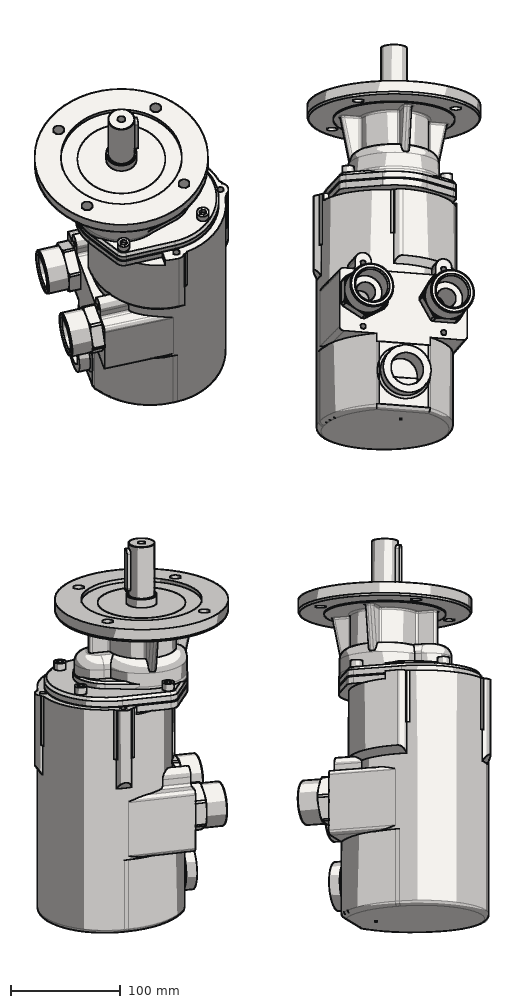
import math

import cadquery as cq


MARGIN = 1.0

SHAFT_TOP = 55.0
COLLAR_TOP = 5.0
FLANGE_BOTTOM = -12.3
FLANGE_RING_BOTTOM = -13.4
NECK_BOTTOM = -46.0
COVER_TOP = -72.0
BODY_TOP = -81.0
PLATE_BOTTOM = -88.0
BODY_BOTTOM = -299.0
PART_BOTTOM = -300.0
BLOCK_TOP = -168.2
BLOCK_BOTTOM = -228.0
PAD_TOP = -235.6

SHAFT_DIA = 24.0
COLLAR_DIA = 28.0
SHAFT_CHAMFER = 0.4
CENTRE_HOLE_DIA = 7.0
CENTRE_HOLE_DEPTH = 20.0
KEY_WIDTH = 8.0
KEY_BOTTOM = 9.5
KEY_TOP = 50.5
KEY_OUTER_Y = 15.0

FLANGE_DIA = 158.0
FLANGE_CHAMFER_HEIGHT = 2.0
FLANGE_CHAMFER_WIDTH = 1.2
FLANGE_RING_DIA = 111.0
RECESS_DIA = 110.0
RECESS_DEPTH = 3.5
SEAL_COVER_DIA = 80.0
SEAL_COVER_RISE = 0.2
FLANGE_HOLE_DIA = 10.0
FLANGE_BOLT_CIRCLE_DIA = 130.0

NECK_DIA = 63.5
DOME_DIA = 83.0
DOME_ROUND = 10.5
LOBE_Y = 42.2
LOBE_RADIUS = 21.0
RIB_THICKNESS = 7.5
RIB_EDGE_ROUND = 2.4
RIB_ROOT_FILLET = 2.2
RIB_TOP_FILLET = 1.8
SIDE_RIB_Y = 1.8
RIB_TOP_REACH = 50.3
RIB_FOOT_REACH = 41.5
RIB_FOOT_Z = -55.5
DOME_FOOT_TOP = -69.6
DOME_FOOT_RADIUS = 41.9
WEB_TOP = -65.3
WEB_FRONT_Y = 12.0
WEB_REAR_HALF_WIDTH = 29.3
WEB_REAR_Y = 43.8
WEB_END_Y = 63.8
WEB_CHAMFER = 2.0

COVER_FRONT_RADIUS = 42.0
COVER_FRONT_HALF_ANGLE = math.radians(30)
COVER_CORNER_RADIUS = 9.0
COVER_CHAMFER_HEIGHT = 3.0
COVER_CHAMFER_WIDTH = 2.3
GASKET_TOP = -80.5
GASKET_BOTTOM = -81.5
GASKET_INSET = 0.25
SCREW_HEAD_DIA = 11.0
SCREW_HEAD_TOP = -65.2
SCREW_SOCKET_DIA = 6.4
SCREW_SOCKET_DEPTH = 4.0

BODY_Y = 35.0
BODY_RADIUS = 61.5
COVER_REAR_RADIUS = 55.3
BODY_ROUND = 4.0
SHOULDER_Y = 22.7
BOSS_RADIUS = 7.5
BOSS_REACH = 66.25
BOSS_BOTTOM = -151.0
BOSS_TAPER_BOTTOM = -158.0
BOSS_FLARE_WIDTH = 19.7
BOSS_FLARE_BOTTOM = -129.0
BOSS_HOLE_DIA = 6.0
BOSS_HOLE_DEPTH = 15.0
NUB_X = 4.6
NUB_Y = -7.0
NUB_DIA = 2.0

FRONT_Y = -33.2
BLOCK_FRONT_HALF_WIDTH = 60.3
BLOCK_REAR_HALF_WIDTH = 61.45
BLOCK_ROUND = 4.0
EAR_X = 38.0
EAR_RADIUS = 7.5
EAR_TOP = -152.3
EAR_ROOT_FILLET = 2.5
BLOCK_HOLE_DIA = 5.0
BLOCK_HOLE_DEPTH = 12.0
BLOCK_HOLE_LEVELS = (-162.2, -222.3)
HOUSING_HALF_WIDTH = 25.2
HOUSING_SIDE_FLAT = 4.0
HOUSING_ARC_RADIUS = 75.0
PAD_Y = -34.2
PAD_HALF_WIDTH = 23.2

FITTING_Z = -192.0
FITTING_POINT_UP = 30.0
FITTING_FLAT_UP = 0.0
FITTING_HEX_WIDTH = 41.0
FITTING_HEX_CORNER_DIA = 46.0
FITTING_HEX_END_Y = -44.4
FITTING_TUBE_DIA = 41.0
FITTING_END_Y = -64.3
FITTING_EDGE = 1.0
FITTING_BORE_DIA = 30.3
FITTING_MOUTH_DIA = 33.25
FITTING_BORE_DEPTH = 22.0
FITTING_HOLE_DIA = 18.0
OUTLET_Z = -263.4
OUTLET_DIA = 45.0
OUTLET_BASE_DIA = 50.0
OUTLET_BASE_END_Y = -36.0
OUTLET_END_Y = -46.2
OUTLET_BORE_DIA = 30.5
OUTLET_LEDGE_Y = -28.0
OUTLET_LEDGE_TOP = -266.5


def disc(radius, top, bottom, x=0.0, y=0.0):
    """Upright cylinder between two levels."""
    return cq.Workplane("XY", origin=(x, y, bottom)).circle(radius).extrude(top - bottom)


def facing_disc(radius, x, z, front_y, back_y):
    """Cylinder along Y, from its front end to its back end."""
    return cq.Workplane("XZ", origin=(x, back_y, z)).circle(radius).extrude(back_y - front_y)


def box(x_range, y_range, z_range):
    """Box between two limits on each axis."""
    return (
        cq.Workplane("XY", origin=(x_range[0], y_range[0], z_range[0]))
        .box(x_range[1] - x_range[0], y_range[1] - y_range[0], z_range[1] - z_range[0], centered=False)
    )


def output_shaft():
    """Shaft with collar, centre hole and parallel key on its +Y side."""
    shaft = disc(SHAFT_DIA / 2, SHAFT_TOP, NECK_BOTTOM).faces(">Z").chamfer(SHAFT_CHAMFER)
    collar = disc(COLLAR_DIA / 2, COLLAR_TOP, NECK_BOTTOM).faces(">Z").chamfer(SHAFT_CHAMFER)
    key = (
        cq.Workplane("XZ", origin=(0, KEY_OUTER_Y, (KEY_TOP + KEY_BOTTOM) / 2))
        .slot2D(KEY_TOP - KEY_BOTTOM, KEY_WIDTH, 90)
        .extrude(KEY_OUTER_Y)
    )
    hole = disc(CENTRE_HOLE_DIA / 2, SHAFT_TOP, SHAFT_TOP - CENTRE_HOLE_DEPTH)
    return shaft.union(collar).union(key).cut(hole)


def mounting_flange():
    """Round flange with a recessed face, a barely raised seal cover and four bolt holes."""
    flange = disc(FLANGE_DIA / 2, 0, FLANGE_BOTTOM)
    flange = flange.faces("<Z").chamfer(FLANGE_CHAMFER_HEIGHT, FLANGE_CHAMFER_WIDTH)
    holes = (
        cq.Workplane("XY", origin=(0, 0, FLANGE_BOTTOM))
        .polarArray(FLANGE_BOLT_CIRCLE_DIA / 2, 45, 360, 4)
        .circle(FLANGE_HOLE_DIA / 2)
        .extrude(-FLANGE_BOTTOM)
    )
    seal_cover = disc(SEAL_COVER_DIA / 2, -RECESS_DEPTH + SEAL_COVER_RISE, FLANGE_BOTTOM)
    return flange.cut(disc(RECESS_DIA / 2, 0, -RECESS_DEPTH)).cut(holes).union(seal_cover)


def rib(angle, foot_reach, offset=0.0):
    """Radial web between flange and dome with a rounded outer edge, moved sideways along Y."""
    web = (
        cq.Workplane("XZ", origin=(0, RIB_THICKNESS / 2, 0))
        .moveTo(0, FLANGE_BOTTOM)
        .lineTo(RIB_TOP_REACH, FLANGE_BOTTOM)
        .lineTo(foot_reach, RIB_FOOT_Z)
        .lineTo(0, RIB_FOOT_Z)
        .close()
        .extrude(RIB_THICKNESS)
    )
    outer_edges = cq.selectors.BoxSelector(
        (foot_reach / 2, -RIB_THICKNESS, RIB_FOOT_Z + MARGIN),
        (RIB_TOP_REACH + MARGIN, RIB_THICKNESS, FLANGE_BOTTOM - MARGIN),
    )
    web = web.edges("not |X").edges("not |Y").edges(outer_edges).fillet(RIB_EDGE_ROUND)
    return web.rotate((0, 0, 0), (0, 0, 1), angle).translate((0, offset, 0))


def ribbed_neck():
    """Neck and four ribs under the flange ring, with fillets in the inner corners."""
    neck = disc(NECK_DIA / 2, FLANGE_BOTTOM, RIB_FOOT_Z)
    neck = neck.union(rib(90, RIB_TOP_REACH)).union(rib(270, RIB_FOOT_REACH))
    for angle in (0, 180):
        neck = neck.union(rib(angle, RIB_FOOT_REACH, SIDE_RIB_Y))
    corner_zone = cq.selectors.BoxSelector(
        (-NECK_DIA / 2, -NECK_DIA / 2, FLANGE_BOTTOM),
        (NECK_DIA / 2, NECK_DIA / 2, RIB_FOOT_Z),
    )
    neck = neck.edges("|Z").edges(corner_zone).fillet(RIB_ROOT_FILLET)
    ring = disc(FLANGE_RING_DIA / 2, FLANGE_BOTTOM, FLANGE_RING_BOTTOM)
    neck = neck.union(ring)
    under_ring = cq.selectors.BoxSelector(
        (-RIB_TOP_REACH - MARGIN, -RIB_TOP_REACH - MARGIN, FLANGE_RING_BOTTOM - MARGIN),
        (RIB_TOP_REACH + MARGIN, RIB_TOP_REACH + MARGIN, FLANGE_RING_BOTTOM + MARGIN),
        boundingbox=True,
    )
    return neck.edges(under_ring).fillet(RIB_TOP_FILLET)


def gear_neck():
    """Ribbed neck on a rounded dome with a rear lobe, a chamfered web and a spread foot."""
    dome = disc(DOME_DIA / 2, NECK_BOTTOM, COVER_TOP).faces(">Z").edges().fillet(DOME_ROUND)
    lobe = disc(LOBE_RADIUS, NECK_BOTTOM, COVER_TOP, y=LOBE_Y)
    lobe = lobe.union(box((-LOBE_RADIUS, LOBE_RADIUS), (0, LOBE_Y), (COVER_TOP, NECK_BOTTOM)))
    lobe = lobe.faces(">Z").edges().fillet(DOME_ROUND)
    web_half_width = math.sqrt((DOME_DIA / 2) ** 2 - WEB_FRONT_Y ** 2)
    web = (
        cq.Workplane("XY", origin=(0, 0, COVER_TOP))
        .moveTo(-web_half_width, WEB_FRONT_Y)
        .lineTo(-WEB_REAR_HALF_WIDTH, WEB_REAR_Y)
        .threePointArc((0, WEB_END_Y), (WEB_REAR_HALF_WIDTH, WEB_REAR_Y))
        .lineTo(web_half_width, WEB_FRONT_Y)
        .close()
        .extrude(WEB_TOP - COVER_TOP)
        .faces(">Z")
        .chamfer(WEB_CHAMFER)
    )
    foot = (
        cq.Workplane("XZ")
        .moveTo(0, DOME_FOOT_TOP)
        .lineTo(DOME_DIA / 2, DOME_FOOT_TOP)
        .lineTo(DOME_FOOT_RADIUS, COVER_TOP)
        .lineTo(DOME_FOOT_RADIUS, COVER_TOP - COVER_CHAMFER_HEIGHT)
        .lineTo(0, COVER_TOP - COVER_CHAMFER_HEIGHT)
        .close()
        .revolve(360, (0, 0, 0), (0, 1, 0))
    )
    return dome.union(lobe).union(web).union(foot).union(ribbed_neck())


def cover_outline(bottom):
    """Round back, straight sides, and a front arc joined by tangent lines to rounded corners."""
    sine = math.sin(COVER_FRONT_HALF_ANGLE)
    cosine = math.cos(COVER_FRONT_HALF_ANGLE)
    side = COVER_REAR_RADIUS
    corner_x, corner_y = cover_corner()
    tangent_x = corner_x + COVER_CORNER_RADIUS * sine
    tangent_y = corner_y - COVER_CORNER_RADIUS * cosine
    front_x = COVER_FRONT_RADIUS * sine
    front_y = -COVER_FRONT_RADIUS * cosine
    middle = math.pi / 4 - COVER_FRONT_HALF_ANGLE / 2
    middle_x = corner_x + COVER_CORNER_RADIUS * math.cos(middle)
    middle_y = corner_y - COVER_CORNER_RADIUS * math.sin(middle)
    return (
        cq.Workplane("XY", origin=(0, 0, bottom))
        .moveTo(-side, BODY_Y)
        .threePointArc((0, BODY_Y + side), (side, BODY_Y))
        .lineTo(side, corner_y)
        .threePointArc((middle_x, middle_y), (tangent_x, tangent_y))
        .lineTo(front_x, front_y)
        .threePointArc((0, -COVER_FRONT_RADIUS), (-front_x, front_y))
        .lineTo(-tangent_x, tangent_y)
        .threePointArc((-middle_x, middle_y), (-side, corner_y))
        .close()
    )


def cover_corner():
    """Centre of the rounded +X front corner, set by the line tangent to the front arc."""
    x = COVER_REAR_RADIUS - COVER_CORNER_RADIUS
    distance = COVER_FRONT_RADIUS - COVER_CORNER_RADIUS
    y = (x * math.sin(COVER_FRONT_HALF_ANGLE) - distance) / math.cos(COVER_FRONT_HALF_ANGLE)
    return x, y


def cover():
    """Cover plate with a chamfered rim and four screws, on a gasket and a matching seat."""
    plate = cover_outline(GASKET_TOP).extrude(COVER_TOP - GASKET_TOP)
    plate = plate.faces(">Z").chamfer(COVER_CHAMFER_HEIGHT, COVER_CHAMFER_WIDTH)
    gasket = cover_outline(GASKET_BOTTOM).offset2D(-GASKET_INSET).extrude(GASKET_TOP - GASKET_BOTTOM)
    seat = cover_outline(PLATE_BOTTOM).extrude(GASKET_BOTTOM - PLATE_BOTTOM)
    plate = plate.union(gasket).union(seat)
    corner_x, corner_y = cover_corner()
    rear_offset = (COVER_REAR_RADIUS - COVER_CORNER_RADIUS) * math.sqrt(0.5)
    for side in (-1, 1):
        for x, y in ((corner_x, corner_y), (rear_offset, BODY_Y + rear_offset)):
            head = disc(SCREW_HEAD_DIA / 2, SCREW_HEAD_TOP, COVER_TOP - COVER_CHAMFER_HEIGHT, side * x, y)
            socket = (
                cq.Workplane("XY", origin=(side * x, y, SCREW_HEAD_TOP))
                .polygon(6, SCREW_SOCKET_DIA)
                .extrude(-SCREW_SOCKET_DEPTH)
            )
            plate = plate.union(head).cut(socket)
    return plate


def tapered_envelope():
    """Round envelope about the body axis that tapers the boss feet into the body."""
    return disc(BOSS_REACH, BODY_TOP, BOSS_BOTTOM, y=BODY_Y).union(
        cq.Workplane("XZ", origin=(0, BODY_Y, 0))
        .moveTo(0, BOSS_BOTTOM)
        .lineTo(BOSS_REACH, BOSS_BOTTOM)
        .lineTo(BODY_RADIUS, BOSS_TAPER_BOTTOM)
        .lineTo(0, BOSS_TAPER_BOTTOM)
        .close()
        .revolve(360, (0, 0, 0), (0, 1, 0))
    )


def boss(angle):
    """Rounded vertical screw boss on the body, flared at its root over the upper part."""
    centre = BOSS_REACH - BOSS_RADIUS
    column = disc(BOSS_RADIUS, BODY_TOP, BOSS_TAPER_BOTTOM, centre)
    column = column.union(box((0, centre), (-BOSS_RADIUS, BOSS_RADIUS), (BOSS_TAPER_BOTTOM, BODY_TOP)))
    root = math.sqrt(BODY_RADIUS ** 2 - (BOSS_FLARE_WIDTH / 2) ** 2)
    flare = (
        cq.Workplane("XY", origin=(0, 0, BOSS_FLARE_BOTTOM))
        .polyline([
            (0, -BOSS_FLARE_WIDTH / 2),
            (root, -BOSS_FLARE_WIDTH / 2),
            (BODY_RADIUS + MARGIN, -BOSS_RADIUS),
            (BODY_RADIUS + MARGIN, BOSS_RADIUS),
            (root, BOSS_FLARE_WIDTH / 2),
            (0, BOSS_FLARE_WIDTH / 2),
        ])
        .close()
        .extrude(BODY_TOP - BOSS_FLARE_BOTTOM)
    )
    return column.union(flare).rotate((0, 0, 0), (0, 0, 1), angle).translate((0, BODY_Y, 0))


def motor_body():
    """Round body with bosses on four sides and a thickened quarter at +X, -Y."""
    raised = box((0, BOSS_REACH), (BODY_Y - BOSS_REACH, BODY_Y), (BOSS_TAPER_BOTTOM, BODY_TOP))
    for angle in (0, 90, 180, 270):
        raised = raised.union(boss(angle))
    body = disc(BODY_RADIUS, BODY_TOP, BLOCK_BOTTOM, y=BODY_Y)
    body = body.union(raised.intersect(tapered_envelope()))
    reach = 2 * BODY_RADIUS
    body = body.cut(box((-reach, reach), (-reach, SHOULDER_Y), (PLATE_BOTTOM, BODY_TOP)))
    hole_centre = BOSS_REACH - BOSS_RADIUS
    for x, y in ((0, hole_centre), (-hole_centre, 0), (hole_centre, 0)):
        body = body.cut(disc(BOSS_HOLE_DIA / 2, BODY_TOP, BODY_TOP - BOSS_HOLE_DEPTH, x, BODY_Y + y))
    return body


def connection_block():
    """Flat fronted block with slightly tapered sides and two rounded ears on top."""
    block = (
        cq.Workplane("XY", origin=(0, 0, BLOCK_BOTTOM))
        .polyline([
            (-BLOCK_REAR_HALF_WIDTH, BODY_Y),
            (-BLOCK_FRONT_HALF_WIDTH, FRONT_Y),
            (BLOCK_FRONT_HALF_WIDTH, FRONT_Y),
            (BLOCK_REAR_HALF_WIDTH, BODY_Y),
        ])
        .close()
        .extrude(BLOCK_TOP - BLOCK_BOTTOM)
    )
    block = block.edges("(<Z or >Z) and (not |X)").fillet(BLOCK_ROUND)
    ear_z = EAR_TOP - EAR_RADIUS
    for x in (-EAR_X, EAR_X):
        sides = (x - EAR_RADIUS, x + EAR_RADIUS)
        block = block.union(facing_disc(EAR_RADIUS, x, ear_z, FRONT_Y, BODY_Y))
        block = block.union(box(sides, (FRONT_Y, BODY_Y), (FITTING_Z, ear_z)))
        for side in (-1, 1):
            edge = x + side * EAR_RADIUS
            root = box(
                sorted((edge, edge + side * EAR_ROOT_FILLET)),
                (FRONT_Y, BODY_Y),
                (BLOCK_TOP, BLOCK_TOP + EAR_ROOT_FILLET),
            )
            round_x = edge + side * EAR_ROOT_FILLET
            hollow = facing_disc(EAR_ROOT_FILLET, round_x, BLOCK_TOP + EAR_ROOT_FILLET, FRONT_Y, BODY_Y)
            block = block.union(root.cut(hollow))
    return block


def lower_housing():
    """Lower body: round back, curved sides running to a flat front with a raised pad, and a floor nub."""
    taper = (BODY_RADIUS - BLOCK_FRONT_HALF_WIDTH) / (BODY_Y - FRONT_Y)
    start_x = BODY_RADIUS - taper * HOUSING_SIDE_FLAT
    start_y = BODY_Y - HOUSING_SIDE_FLAT
    outline = (
        cq.Workplane("XY", origin=(0, 0, BODY_BOTTOM))
        .moveTo(-BODY_RADIUS, BODY_Y)
        .lineTo(-start_x, start_y)
        .radiusArc((-HOUSING_HALF_WIDTH, FRONT_Y), -HOUSING_ARC_RADIUS)
        .lineTo(HOUSING_HALF_WIDTH, FRONT_Y)
        .radiusArc((start_x, start_y), -HOUSING_ARC_RADIUS)
        .lineTo(BODY_RADIUS, BODY_Y)
        .threePointArc((0, BODY_Y + BODY_RADIUS), (-BODY_RADIUS, BODY_Y))
        .close()
    )
    housing = outline.extrude(BLOCK_BOTTOM - BODY_BOTTOM).faces("<Z").edges().fillet(BODY_ROUND)
    nub = disc(NUB_DIA / 2, BODY_BOTTOM + BODY_ROUND, PART_BOTTOM, NUB_X, NUB_Y)
    pad = (
        cq.Workplane("XY", origin=(0, 0, BODY_BOTTOM + BODY_ROUND))
        .polyline([
            (-HOUSING_HALF_WIDTH, FRONT_Y),
            (-PAD_HALF_WIDTH, PAD_Y),
            (PAD_HALF_WIDTH, PAD_Y),
            (HOUSING_HALF_WIDTH, FRONT_Y),
        ])
        .close()
        .extrude(PAD_TOP - BODY_BOTTOM - BODY_ROUND)
    )
    return housing.union(pad).union(nub)


def fitting(x, turn):
    """Chamfered hexagon with a bored tube in front of it."""
    hex_depth = FRONT_Y - FITTING_HEX_END_Y
    hexagon = (
        cq.Workplane("XZ", origin=(x, FRONT_Y, FITTING_Z))
        .transformed(rotate=(0, 0, turn))
        .polygon(6, FITTING_HEX_WIDTH / math.cos(math.pi / 6))
        .extrude(hex_depth)
    )
    limit = facing_disc(FITTING_HEX_CORNER_DIA / 2, x, FITTING_Z, FITTING_HEX_END_Y, FRONT_Y)
    limit = limit.faces("<Y").chamfer(FITTING_EDGE)
    tube = facing_disc(FITTING_TUBE_DIA / 2, x, FITTING_Z, FITTING_END_Y, FRONT_Y)
    return hexagon.intersect(limit).union(tube.faces("<Y").chamfer(FITTING_EDGE))


def outlet():
    """Round outlet spigot on a conical base."""
    base = (
        cq.Workplane("XZ", origin=(0, PAD_Y, OUTLET_Z))
        .circle(OUTLET_BASE_DIA / 2)
        .workplane(offset=PAD_Y - OUTLET_BASE_END_Y)
        .circle(OUTLET_DIA / 2)
        .loft()
    )
    return base.union(facing_disc(OUTLET_DIA / 2, 0, OUTLET_Z, OUTLET_END_Y, FRONT_Y))


def front_openings():
    """Fitting bores, outlet bore and screw holes; deep bores stop at the body cylinder."""
    core = disc(BODY_RADIUS, BLOCK_TOP, BODY_BOTTOM, y=BODY_Y)
    ledge = box((-OUTLET_DIA, OUTLET_DIA), (OUTLET_LEDGE_Y, BODY_Y), (BODY_BOTTOM, OUTLET_LEDGE_TOP))
    openings = facing_disc(OUTLET_BORE_DIA / 2, 0, OUTLET_Z, OUTLET_END_Y, BODY_Y).cut(ledge)
    for x in (-EAR_X, EAR_X):
        openings = openings.union(facing_disc(FITTING_HOLE_DIA / 2, x, FITTING_Z, FITTING_END_Y, BODY_Y))
    openings = openings.cut(core)
    for x in (-EAR_X, EAR_X):
        bore_end = FITTING_END_Y + FITTING_BORE_DEPTH
        openings = openings.union(facing_disc(FITTING_BORE_DIA / 2, x, FITTING_Z, FITTING_END_Y, bore_end))
        mouth_depth = (FITTING_MOUTH_DIA - FITTING_BORE_DIA) / 2
        mouth_end = FITTING_END_Y + mouth_depth
        mouth = cq.Workplane("XZ", origin=(x, mouth_end, FITTING_Z)).circle(FITTING_BORE_DIA / 2)
        mouth = mouth.workplane(offset=mouth_depth).circle(FITTING_MOUTH_DIA / 2).loft()
        openings = openings.union(mouth)
        for z in BLOCK_HOLE_LEVELS:
            hole = facing_disc(BLOCK_HOLE_DIA / 2, x, z, FRONT_Y, FRONT_Y + BLOCK_HOLE_DEPTH)
            openings = openings.union(hole)
    return openings


result = (
    motor_body()
    .union(lower_housing())
    .union(connection_block())
    .union(fitting(-EAR_X, FITTING_POINT_UP))
    .union(fitting(EAR_X, FITTING_FLAT_UP))
    .union(outlet())
    .cut(front_openings())
    .union(cover())
    .union(gear_neck())
    .union(mounting_flange())
    .union(output_shaft())
)